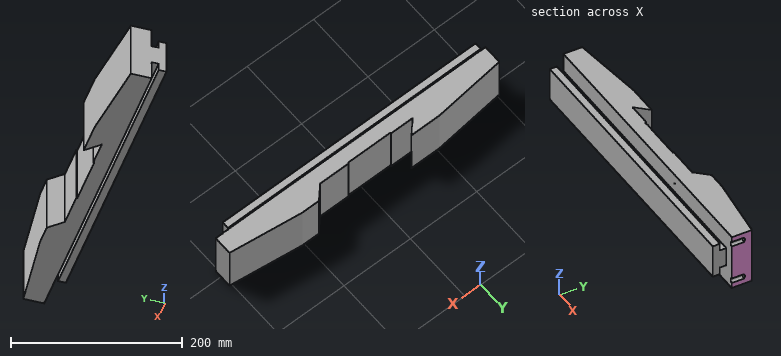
import cadquery as cq
import math

LENGTH = 406.5
HEIGHT = 76.5
PLATE_THICKNESS = 37.5
END_THICKNESS = 25.5
TAPER_LENGTH = 100.0

NOTCH_DEPTH = 17.0
FLANK_RUN = 16.0
NOTCH_LEFT = 126.5
NOTCH_RIGHT = 265.8
RELIEF_LEFT = 158.5
RELIEF_RIGHT = 222.5
RELIEF_DEPTH = 1.2

RAIL_LENGTH = 381.0
HEAD_HEIGHT = 45.5
HEAD_THICKNESS = 9.8
NECK_HEIGHT = 25.5
NECK_DEPTH = 8.5

HOLE_DIAMETER = 5.5
HOLE_X = 393.5
HOLE_SPACING = 54.5
HOLE_DEPTH = 16.3
DRILL_POINT_ANGLE = 118.0
PIN_HOLE_DIAMETER = 1.0
PIN_HOLE_X = 259.5
PIN_HOLE_SPACING = 50.0


def make_plate():
    """Tapered plate with its front face on Y = 0, centred on Z = 0."""
    floor = PLATE_THICKNESS - NOTCH_DEPTH
    relief_floor = floor - RELIEF_DEPTH
    outline = [
        (0, 0),
        (LENGTH, 0),
        (LENGTH, END_THICKNESS),
        (LENGTH - TAPER_LENGTH, PLATE_THICKNESS),
        (NOTCH_RIGHT + FLANK_RUN, PLATE_THICKNESS),
        (NOTCH_RIGHT, floor),
        (RELIEF_RIGHT, floor),
        (RELIEF_RIGHT, relief_floor),
        (RELIEF_LEFT, relief_floor),
        (RELIEF_LEFT, floor),
        (NOTCH_LEFT, floor),
        (NOTCH_LEFT + FLANK_RUN, PLATE_THICKNESS),
        (TAPER_LENGTH, PLATE_THICKNESS),
        (0, END_THICKNESS),
    ]
    return cq.Workplane("XY").polyline(outline).close().extrude(HEIGHT / 2, both=True)


def make_rail():
    """Narrow neck and wider head running along the front face."""
    neck = cq.Workplane("XY").box(
        RAIL_LENGTH, NECK_DEPTH + HEAD_THICKNESS, NECK_HEIGHT, centered=(False, False, True)
    )
    head = cq.Workplane("XY").box(
        RAIL_LENGTH, HEAD_THICKNESS, HEAD_HEIGHT, centered=(False, False, True)
    )
    return neck.union(head).translate((0, -NECK_DEPTH - HEAD_THICKNESS, 0))


def make_hole_pair(x, spacing, diameter):
    """Two drilled holes with conical ends in the front face, mirrored about Z = 0."""
    radius = diameter / 2
    tip_depth = radius / math.tan(math.radians(DRILL_POINT_ANGLE / 2))
    profile = [(0, 0), (radius, 0), (radius, HOLE_DEPTH), (0, HOLE_DEPTH + tip_depth)]
    drill = cq.Workplane("XY").polyline(profile).close().revolve(360, (0, 0), (0, 1))
    upper = drill.translate((x, 0, spacing / 2))
    lower = drill.translate((x, 0, -spacing / 2))
    return upper.union(lower)


result = (
    make_plate()
    .union(make_rail())
    .cut(make_hole_pair(HOLE_X, HOLE_SPACING, HOLE_DIAMETER))
    .cut(make_hole_pair(PIN_HOLE_X, PIN_HOLE_SPACING, PIN_HOLE_DIAMETER))
)